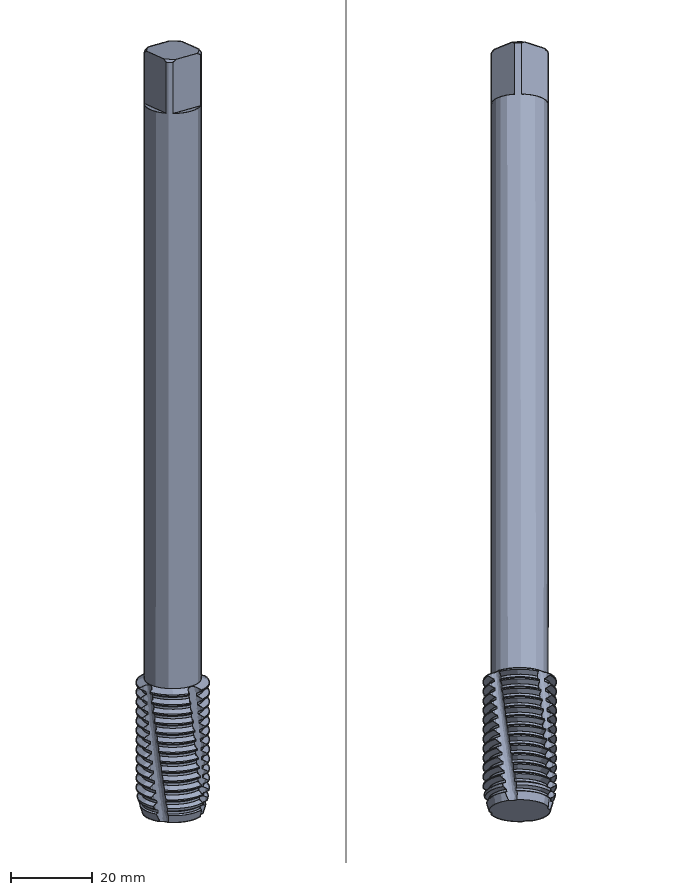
import cadquery as cq
import math

total_length = 200.0
head_length = 35.0
shank_radius = 7.0

square_width = 11.0
square_length = 14.0
square_corner_chamfer = 0.6

thread_radius = 9.0
thread_pitch = 2.5
flank_angle = math.radians(30)
crest_width = thread_pitch / 8
root_width = thread_pitch / 4
flank_height = (thread_pitch - crest_width - root_width) / 2
root_radius = thread_radius - flank_height / math.tan(flank_angle)
lowest_groove_height = 0.15
groove_count = math.ceil(head_length / thread_pitch)

top_taper_height = 0.9
lead_height = 5.0
lead_radius = 7.5

flute_count = 4
flute_bottom_radius = 7.1
flute_arc_radius = 1.8
flute_wall_angle = math.radians(25)
flute_outer_radius = thread_radius + 0.5
flute_twist = -35.0


def revolve_profile(points):
    """Solid of revolution about Z from (radius, height) points."""
    return cq.Workplane("XZ").polyline(points).close().revolve(360, (0, 0), (0, 1))


def make_shank():
    """Round shank whose top end is a square with its corners rounded to the shank and chamfered."""
    square_bottom = total_length - square_length
    shank = cq.Workplane("XY", origin=(0, 0, head_length)).circle(shank_radius)
    shank = shank.extrude(total_length - head_length)
    shank = shank.faces(">Z").chamfer(square_corner_chamfer)
    square_base = cq.Workplane("XY", origin=(0, 0, square_bottom))
    square_cutter = square_base.circle(2 * shank_radius).rect(square_width, square_width)
    return shank.cut(square_cutter.extrude(square_length))


def make_threaded_blank():
    """Head outline tapered at both ends and ringed by the thread grooves."""
    blank = revolve_profile([
        (0, 0),
        (lead_radius, 0),
        (thread_radius, lead_height),
        (thread_radius, head_length - top_taper_height),
        (shank_radius, head_length),
        (0, head_length),
    ])
    for groove in range(groove_count):
        height = lowest_groove_height + groove * thread_pitch
        mouth_half_width = root_width / 2 + flank_height
        ring = revolve_profile([
            (root_radius, height - root_width / 2),
            (thread_radius, height - mouth_half_width),
            (thread_radius, height + mouth_half_width),
            (root_radius, height + root_width / 2),
        ])
        blank = blank.cut(ring)
    return blank


def make_flute_cutter(top_angle):
    """Twisted bar that cuts one flute, reaching the head's top end at the given angle."""
    arc_center = flute_bottom_radius + flute_arc_radius
    tangent_radius = arc_center - flute_arc_radius * math.sin(flute_wall_angle)
    tangent_half_width = flute_arc_radius * math.cos(flute_wall_angle)
    wall_reach = flute_outer_radius - tangent_radius
    outer_half_width = tangent_half_width + wall_reach * math.tan(flute_wall_angle)
    section = (
        cq.Workplane("XY")
        .moveTo(flute_outer_radius, -outer_half_width)
        .lineTo(tangent_radius, -tangent_half_width)
        .threePointArc((flute_bottom_radius, 0), (tangent_radius, tangent_half_width))
        .lineTo(flute_outer_radius, outer_half_width)
        .close()
    )
    bar = section.twistExtrude(head_length, flute_twist)
    return bar.rotate((0, 0, 0), (0, 0, 1), top_angle - flute_twist)


def make_head():
    """Cutting head with its thread interrupted by helical flutes."""
    head = make_threaded_blank()
    for flute in range(flute_count):
        head = head.cut(make_flute_cutter(flute * 360 / flute_count))
    return head


shank = make_shank()
head = make_head()
result = cq.Compound.makeCompound([shank.val(), *head.vals()])